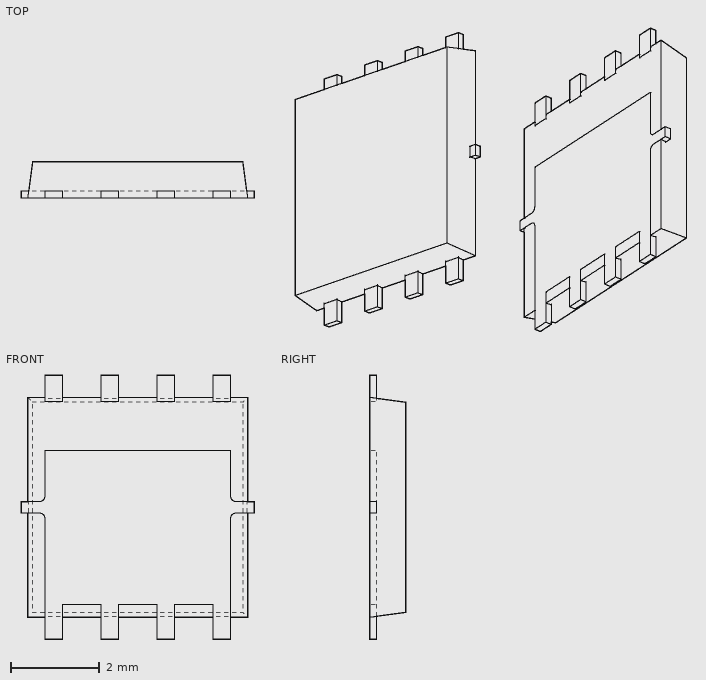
import cadquery as cq

total_height = 6.0
total_width = 5.3
housing_depth = 0.83
housing_front_side = 5.0
housing_back_side = 4.775

metal_thickness = 0.16
lead_count = 4
lead_pitch = 1.27
lead_width = 0.4
lead_length = 0.6
pad_top = 1.295
pad_bottom = -2.2
tab_height = 0.265
tab_fillet = 0.12
corner_reach = 0.005

tip_z = total_height / 2
pad_width = (lead_count - 1) * lead_pitch + lead_width
lead_centers = [(i - (lead_count - 1) / 2) * lead_pitch for i in range(lead_count)]


def metal_bar(x_center, width, z_low, z_high):
    """Flat bar of lead-frame metal lying on the contact face."""
    height = z_high - z_low
    return (
        cq.Workplane("XY")
        .box(width, metal_thickness, height, centered=(True, False, False))
        .translate((x_center, 0, z_low))
    )


def make_lead(x_center):
    """Separate lead at the upper edge."""
    return metal_bar(x_center, lead_width, tip_z - lead_length, tip_z)


def make_pad():
    """Large pad with two side tabs and a row of fingers at the lower edge."""
    pad = metal_bar(0, pad_width, pad_bottom, pad_top)
    pad = pad.union(metal_bar(0, total_width, -tab_height / 2, tab_height / 2))

    for side in (-1, 1):
        for end in (-1, 1):
            x = side * pad_width / 2
            z = end * tab_height / 2
            corner = cq.selectors.BoxSelector(
                (x - corner_reach, -corner_reach, z - corner_reach),
                (x + corner_reach, metal_thickness + corner_reach, z + corner_reach),
            )
            pad = pad.edges("|Y").edges(corner).fillet(tab_fillet)

    for x_center in lead_centers:
        pad = pad.union(metal_bar(x_center, lead_width, -tip_z, pad_bottom))
    return pad.clean()


def make_housing(metal_bodies):
    """Tapered square block with recesses that fit the metal bodies."""
    housing = (
        cq.Workplane("XZ")
        .rect(housing_front_side, housing_front_side)
        .workplane(offset=-housing_depth)
        .rect(housing_back_side, housing_back_side)
        .loft(ruled=True)
    )
    for body in metal_bodies:
        housing = housing.cut(body)
    return housing


pad = make_pad()
leads = [make_lead(x_center) for x_center in lead_centers]
housing = make_housing([pad, *leads])

result = cq.Compound.makeCompound(
    [housing.solids().val(), pad.solids().val(), *[lead.val() for lead in leads]]
)